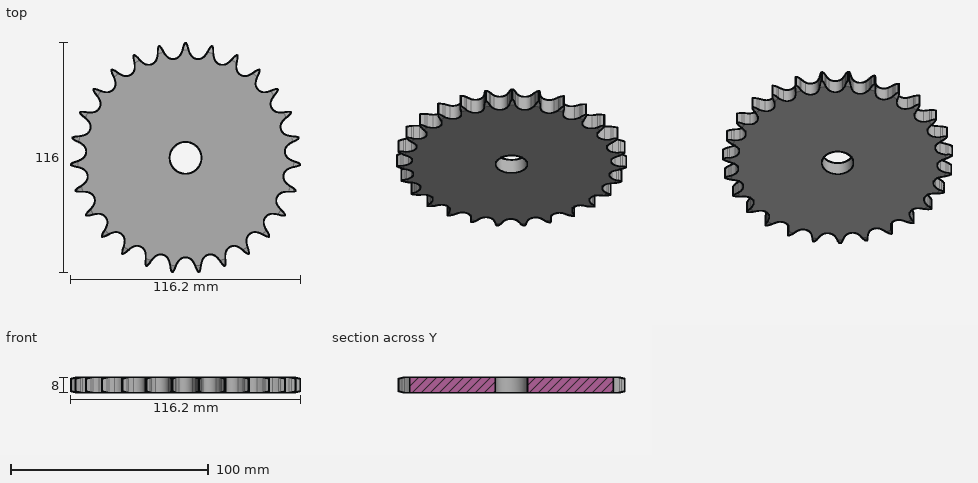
import cadquery as cq
import math

overall_width = 116.2
thickness = 8.0
tooth_count = 27
pitch_radius = 54.7
roller_diameter = 8.5
seating_clearance = 0.06
bore_diameter = 16.0
tip_chamfer_drop = 0.8

half_spacing = 180 / tooth_count
seating_radius = roller_diameter / 2 + seating_clearance
seating_end_angle = 35 + 60 / tooth_count
working_sweep = 18 - 56 / tooth_count
working_center_distance = 0.8 * roller_diameter
working_radius = seating_radius + working_center_distance
topping_center_distance = 1.4 * roller_diameter


def polar(radius, degrees, center=(0.0, 0.0)):
    """Point at a distance and direction from a center."""
    angle = math.radians(degrees)
    return center[0] + radius * math.cos(angle), center[1] + radius * math.sin(angle)


def direction(point, center=(0.0, 0.0)):
    """Direction of a point seen from a center, in degrees."""
    return math.degrees(math.atan2(point[1] - center[1], point[0] - center[0]))


def rotated(point, degrees):
    """Point turned about the sprocket axis."""
    return polar(math.hypot(*point), direction(point) + degrees)


def mirrored(point):
    """Point reflected across the center line of the gap."""
    return point[0], -point[1]


seat_center = (pitch_radius, 0.0)
seat_bottom = (pitch_radius - seating_radius, 0.0)
seat_end_direction = 90 + seating_end_angle
seat_end = polar(seating_radius, seat_end_direction, seat_center)

working_center = polar(working_center_distance, seat_end_direction - 180, seat_center)
working_middle = polar(working_radius, seat_end_direction - working_sweep / 2, working_center)
working_end_direction = seat_end_direction - working_sweep
working_end = polar(working_radius, working_end_direction, working_center)

topping_center = polar(topping_center_distance, 90 + half_spacing, seat_center)
center_distance = math.dist(working_center, topping_center)
center_line_direction = direction(topping_center, working_center)
topping_offset = center_distance * math.cos(math.radians(center_line_direction - working_end_direction))
topping_radius = topping_offset - working_radius
flat_end = polar(topping_radius, working_end_direction + 180, topping_center)

widest_turn = half_spacing / 2
turned_center = rotated(topping_center, -widest_turn)
tip_run = overall_width / 2 - turned_center[0]
turned_tip = (overall_width / 2, turned_center[1] - math.sqrt(topping_radius**2 - tip_run**2))
tip_corner = rotated(turned_tip, widest_turn)
topping_middle_direction = (
    direction(flat_end, topping_center) % 360 + direction(tip_corner, topping_center) % 360
) / 2
topping_middle = polar(topping_radius, topping_middle_direction, topping_center)
tip_radius = math.hypot(*tip_corner)


def add_gap(outline, turn):
    """Continue the outline through one gap, from tip corner to tip corner."""

    def near(point):
        return rotated(mirrored(point), turn)

    def far(point):
        return rotated(point, turn)

    return (
        outline.lineTo(*near(tip_corner))
        .threePointArc(near(topping_middle), near(flat_end))
        .lineTo(*near(working_end))
        .threePointArc(near(working_middle), near(seat_end))
        .threePointArc(far(seat_bottom), far(seat_end))
        .threePointArc(far(working_middle), far(working_end))
        .lineTo(*far(flat_end))
        .threePointArc(far(topping_middle), far(tip_corner))
    )


def toothed_blank():
    """Plate with the full toothed outline; one tooth points along +Y."""
    first_gap = 90 + half_spacing
    bottom = cq.Workplane("XY", origin=(0, 0, -thickness / 2))
    outline = bottom.moveTo(*rotated(tip_corner, first_gap - 2 * half_spacing))
    for index in range(tooth_count):
        outline = add_gap(outline, first_gap + index * 2 * half_spacing)
    return outline.close().extrude(thickness)


def chamfered_envelope():
    """Disk tapering on both faces from the pitch circle to the tooth tips."""
    half_height = thickness / 2
    tip_half_height = half_height - tip_chamfer_drop
    return (
        cq.Workplane("XZ")
        .moveTo(0, -half_height)
        .lineTo(pitch_radius, -half_height)
        .lineTo(tip_radius, -tip_half_height)
        .lineTo(tip_radius, tip_half_height)
        .lineTo(pitch_radius, half_height)
        .lineTo(0, half_height)
        .close()
        .revolve(360, (0, 0, 0), (0, 1, 0))
    )


sprocket = toothed_blank().intersect(chamfered_envelope())

result = sprocket.faces(">Z").workplane(origin=(0, 0, 0)).hole(bore_diameter)